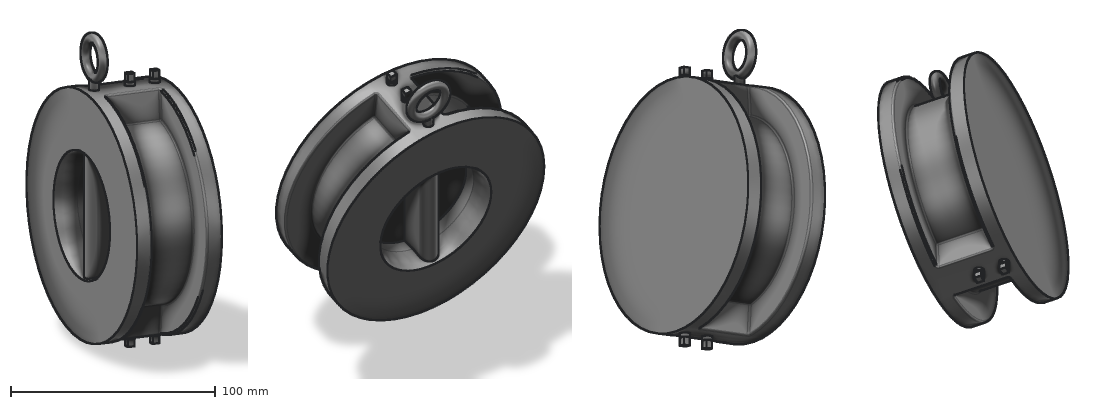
import cadquery as cq
import math

flange_radius = 63.5
body_length = 46.0
flange_thickness = 8.2
core_radius = 48.1
edge_fillet = 1.0
front_y = -body_length / 2
overlap = 3.2
root_z = flange_radius - overlap
pocket_width = body_length - 2 * flange_thickness

rib_half_width = 9.9
draft_angle = math.radians(5)

mouth_radius = 32.5
seat_radius = 29.9
mouth_depth = 11.8
plate_depth = 18.5

bar_radius = 5.2
bar_centre_depth = 7.0

pin_ys = (3.0, 16.5)
collar_radius = 2.6
collar_end_z = 65.4
square_width = 3.5
pin_end_z = 69.5

eye_tube_diameter = 5.0
eye_tube_radius = eye_tube_diameter / 2
eye_outer_radius = 12.5
overall_height = 161.5
eye_top_z = overall_height - pin_end_z
eye_y = -16.3
eye_ring_radius = eye_outer_radius - eye_tube_radius
eye_centre_z = eye_top_z - eye_outer_radius


def cylinder_along_y(radius, start_y, length):
    """Cylinder on the Y axis, running from start_y towards +Y."""
    return cq.Workplane("XZ", origin=(0, start_y, 0)).circle(radius).extrude(-length)


def pocket_cutter():
    """Half ring on the +X side, cut back to the drafted rib sides, with its inner edges rounded."""
    beyond = 2 * flange_radius
    base_half_width = rib_half_width + flange_radius * math.tan(draft_angle)
    tip_half_width = base_half_width - beyond * math.tan(draft_angle)
    side_region = (
        cq.Workplane("XZ", origin=(0, -pocket_width / 2, 0))
        .moveTo(base_half_width, 0)
        .lineTo(tip_half_width, beyond)
        .lineTo(beyond, beyond)
        .lineTo(beyond, -beyond)
        .lineTo(tip_half_width, -beyond)
        .close()
        .extrude(-pocket_width)
    )
    ring = cylinder_along_y(flange_radius + overlap, -pocket_width / 2, pocket_width).cut(
        cylinder_along_y(core_radius, -pocket_width / 2, pocket_width)
    )
    cutter = ring.intersect(side_region)
    inner = cq.selectors.BoxSelector(
        (0, -pocket_width, -flange_radius), (flange_radius, pocket_width, flange_radius)
    )
    return cutter.edges(inner).fillet(edge_fillet)


def is_pocket_rim(edge):
    """True for an edge where a pocket breaks through the outer surface of the disc."""
    return all(
        math.hypot(vertex.X, vertex.Z) > flange_radius - edge_fillet / 2
        and abs(vertex.Y) < body_length / 2 - edge_fillet
        for vertex in edge.Vertices()
    )


def make_body():
    """Flanged disc with a pocket on each side and rounded pocket rims."""
    cutter = pocket_cutter()
    disc = cylinder_along_y(flange_radius, front_y, body_length)
    body = disc.cut(cutter).cut(cutter.mirror("YZ"))
    return body.edges().filter(is_pocket_rim).fillet(edge_fillet)


def inlet_bore():
    """Space cut from the front face down to the valve plate."""
    return (
        cq.Workplane("XY")
        .moveTo(0, front_y)
        .lineTo(mouth_radius, front_y)
        .lineTo(seat_radius, front_y + mouth_depth)
        .lineTo(seat_radius, front_y + plate_depth)
        .lineTo(0, front_y + plate_depth)
        .close()
        .revolve(360, (0, 0, 0), (0, 1, 0))
    )


def plate_bar():
    """Bar whose drafted sides run tangent into its rounded front; its ends lie inside the body."""
    centre_y = front_y + bar_centre_depth
    plate_y = front_y + plate_depth
    tangent_x = bar_radius * math.cos(draft_angle)
    tangent_y = centre_y - bar_radius * math.sin(draft_angle)
    base_x = tangent_x + (plate_y - tangent_y) * math.tan(draft_angle)
    length = 2 * (mouth_radius + overlap)
    return (
        cq.Workplane("XY", origin=(0, 0, -length / 2))
        .moveTo(-base_x, plate_y)
        .lineTo(-tangent_x, tangent_y)
        .threePointArc((0, centre_y - bar_radius), (tangent_x, tangent_y))
        .lineTo(base_x, plate_y)
        .close()
        .extrude(length)
    )


def upper_pin(y):
    """Round collar carrying a square end, rooted in the top rib."""
    collar = (
        cq.Workplane("XY", origin=(0, y, root_z))
        .circle(collar_radius)
        .extrude(collar_end_z - root_z)
    )
    square = (
        cq.Workplane("XY", origin=(0, y, root_z))
        .rect(square_width, square_width)
        .extrude(pin_end_z - root_z)
    )
    return collar.union(square)


def lifting_eye():
    """Upright ring on a stem of the same thickness."""
    ring = (
        cq.Workplane("YZ", origin=(0, eye_y, eye_centre_z + eye_ring_radius))
        .circle(eye_tube_radius)
        .revolve(360, (0, -eye_ring_radius, 0), (1, -eye_ring_radius, 0))
    )
    stem = (
        cq.Workplane("XY", origin=(0, eye_y, root_z))
        .circle(eye_tube_radius)
        .extrude(eye_centre_z - eye_ring_radius - root_z)
    )
    return ring.union(stem)


result = make_body().cut(inlet_bore()).union(plate_bar()).union(lifting_eye())
for pin_y in pin_ys:
    pin = upper_pin(pin_y)
    result = result.union(pin).union(pin.mirror("XY"))